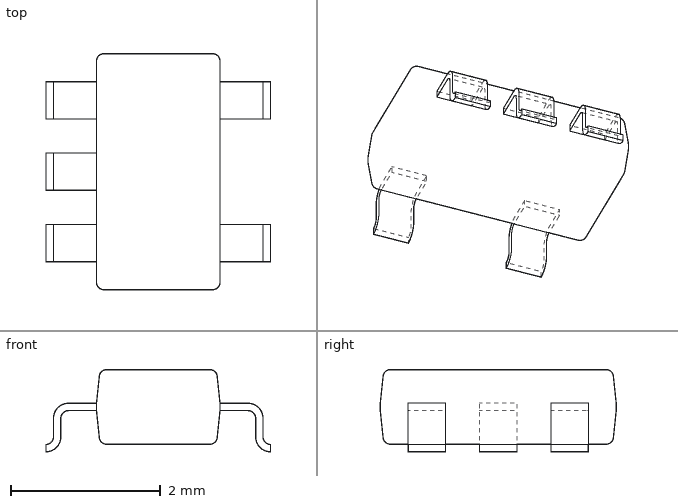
import cadquery as cq
import math

BODY_LENGTH = 3.15
BODY_WIDTH = 1.65
BODY_HEIGHT = 1.0
STANDOFF = 0.1
DRAFT_ANGLE = 6.0
EDGE_RADIUS = 0.1

LEAD_SPAN = 3.0
LEAD_WIDTH = 0.5
LEAD_PITCH = 0.95
LEAD_THICKNESS = 0.1
BEND_INNER_RADIUS = 0.1

BEND_OUTER_RADIUS = BEND_INNER_RADIUS + LEAD_THICKNESS
BODY_MIDDLE_Z = STANDOFF + BODY_HEIGHT / 2
WAIST_HEIGHT = LEAD_THICKNESS
WAIST_TOP_Z = BODY_MIDDLE_Z + WAIST_HEIGHT / 2
WAIST_BOTTOM_Z = BODY_MIDDLE_Z - WAIST_HEIGHT / 2
DRAFTED_HEIGHT = (BODY_HEIGHT - WAIST_HEIGHT) / 2

LEAD_PLACES = [(-1, -1), (-1, 0), (-1, 1), (1, -1), (1, 1)]


def make_body():
    """Moulded body: a straight waist with drafted halves above and below, every edge rounded."""
    waist = (
        cq.Workplane("XY", origin=(0, 0, WAIST_BOTTOM_Z))
        .rect(BODY_WIDTH, BODY_LENGTH)
        .extrude(WAIST_HEIGHT)
    )
    upper_half = (
        cq.Workplane("XY", origin=(0, 0, WAIST_TOP_Z))
        .rect(BODY_WIDTH, BODY_LENGTH)
        .extrude(DRAFTED_HEIGHT, taper=DRAFT_ANGLE)
    )
    lower_half = upper_half.mirror("XY", (0, 0, BODY_MIDDLE_Z))
    block = waist.union(upper_half).union(lower_half)
    return block.edges().fillet(EDGE_RADIUS)


def make_lead(side, row):
    """Bent strip: out from the body wall, down through one bend, then outward into a curved foot."""
    root_x = BODY_WIDTH / 2
    tip_x = LEAD_SPAN / 2
    leg_inner_x = tip_x - BEND_OUTER_RADIUS
    leg_outer_x = leg_inner_x + LEAD_THICKNESS

    shoulder_x = leg_inner_x - BEND_INNER_RADIUS
    shoulder_z = WAIST_BOTTOM_Z - BEND_INNER_RADIUS
    foot_x = tip_x
    foot_z = BEND_OUTER_RADIUS
    diagonal = math.sqrt(0.5)
    inner_reach = BEND_INNER_RADIUS * diagonal
    outer_reach = BEND_OUTER_RADIUS * diagonal

    profile = (
        cq.Workplane("XZ")
        .moveTo(root_x, WAIST_TOP_Z)
        .lineTo(shoulder_x, WAIST_TOP_Z)
        .threePointArc((shoulder_x + outer_reach, shoulder_z + outer_reach), (leg_outer_x, shoulder_z))
        .lineTo(leg_outer_x, foot_z)
        .threePointArc((foot_x - inner_reach, foot_z - inner_reach), (tip_x, LEAD_THICKNESS))
        .lineTo(tip_x, 0)
        .threePointArc((foot_x - outer_reach, foot_z - outer_reach), (leg_inner_x, foot_z))
        .lineTo(leg_inner_x, shoulder_z)
        .threePointArc((shoulder_x + inner_reach, shoulder_z + inner_reach), (shoulder_x, WAIST_BOTTOM_Z))
        .lineTo(root_x, WAIST_BOTTOM_Z)
        .close()
    )
    lead = profile.extrude(LEAD_WIDTH / 2, both=True)
    if side < 0:
        lead = lead.mirror("YZ")
    return lead.translate((0, row * LEAD_PITCH, 0))


body = make_body()
leads = [make_lead(side, row).val() for side, row in LEAD_PLACES]

result = cq.Compound.makeCompound([body.val(), *leads])